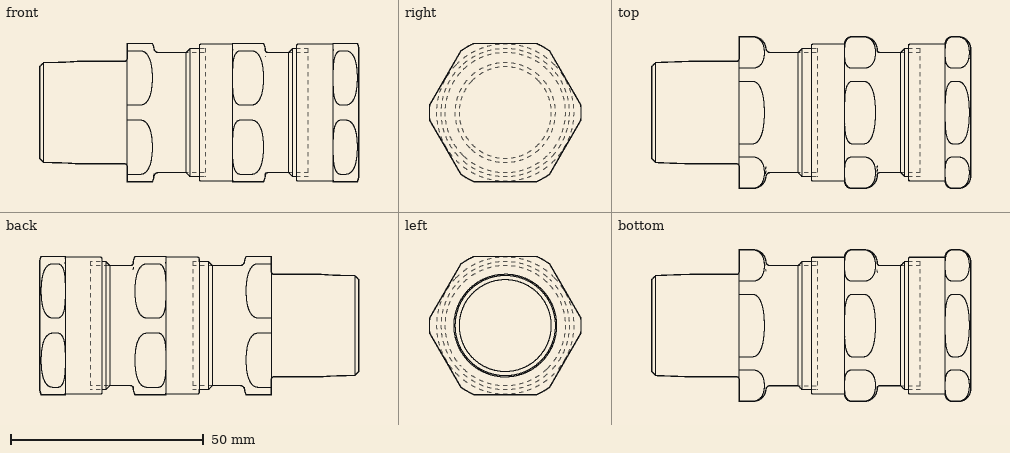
import cadquery as cq
import math


total_length = 82.9
hex_across_flats = 36.0
hex_corner_radius = 39.4 / 2
crown_radius = 3.5
neck_radius = 31.2 / 2
skirt_radius = 35.6 / 2
skirt_edge_round = 0.5
hex_front_round = hex_corner_radius - skirt_radius

thread_radius = 26.7 / 2
thread_tip_radius = 13.0
thread_tip_chamfer = 1.1
taper_end_x = 10.2
entry_hex_x = 22.7
entry_hex_land = 3.6
thread_root_fillet = (27.9 / 2) - thread_radius
entry_neck_fillet = 1.0

middle_skirt_x = 41.4
middle_hex_x = 50.05
middle_hex_land = 3.15
middle_neck_fillet = hex_corner_radius - crown_radius - neck_radius

end_skirt_x = 66.6
end_hex_x = 76.15
end_hex_land = 1.5

seal_radius = 33.3 / 2
seal_length = 5.0
seal_chamfer = seal_radius - neck_radius
entry_seal_x = 38.0
middle_seal_x = 64.6
seal_positions = [entry_seal_x, middle_seal_x]

entry_neck_end_x = entry_seal_x + seal_length
middle_neck_end_x = middle_seal_x + seal_length


def turned(profile):
    """Revolve a closed half profile (x along the axis, y as radius) about the X axis."""
    return profile.close().revolve(360, (0, 0, 0), (1, 0, 0))


def cut_to_hexagon(body):
    """Trim a turned body with a hexagonal prism that has flats at +Z and -Z."""
    across_corners = hex_across_flats / math.cos(math.radians(30))
    prism = cq.Workplane("YZ").polygon(6, across_corners).extrude(total_length)
    return body.intersect(prism).solids()


def round_corner(profile, start, end, centre, radius):
    """Add the short arc of the given radius and centre from start, the current point, to end."""
    middle_x = (start[0] + end[0]) / 2 - centre[0]
    middle_r = (start[1] + end[1]) / 2 - centre[1]
    reach = radius / math.hypot(middle_x, middle_r)
    through = (centre[0] + middle_x * reach, centre[1] + middle_r * reach)
    return profile.threePointArc(through, end)


def add_neck(profile, crown_x, fillet, neck_end_x):
    """Round a hexagon's rear corners, blend into a neck with a concave fillet, return to the axis."""
    fillet_top_r = neck_radius + fillet
    crown_start = (crown_x, hex_corner_radius)
    crown_centre = (crown_x, hex_corner_radius - crown_radius)
    crown_length = math.sqrt(crown_radius**2 - (fillet_top_r - crown_centre[1]) ** 2)
    crown_end = (crown_x + crown_length, fillet_top_r)
    fillet_centre = (crown_end[0] + fillet, fillet_top_r)
    fillet_end = (fillet_centre[0], neck_radius)
    profile = profile.lineTo(*crown_start)
    profile = round_corner(profile, crown_start, crown_end, crown_centre, crown_radius)
    profile = round_corner(profile, crown_end, fillet_end, fillet_centre, fillet)
    return profile.lineTo(neck_end_x, neck_radius).lineTo(neck_end_x, 0)


def nut_front(skirt_x, recess_end_x, hex_x):
    """Start a nut's profile: recess for neck and seal, round-edged skirt, rounded hexagon front."""
    edge_centre = (skirt_x + skirt_edge_round, skirt_radius - skirt_edge_round)
    edge_start = (skirt_x, edge_centre[1])
    edge_end = (edge_centre[0], skirt_radius)
    hex_start = (hex_x, skirt_radius)
    hex_end = (hex_x + hex_front_round, hex_corner_radius)
    hex_centre = (hex_end[0], hex_start[1])
    profile = (
        cq.Workplane("XY")
        .moveTo(recess_end_x, 0)
        .lineTo(recess_end_x, seal_radius)
        .lineTo(skirt_x, seal_radius)
        .lineTo(*edge_start)
    )
    profile = round_corner(profile, edge_start, edge_end, edge_centre, skirt_edge_round)
    profile = profile.lineTo(*hex_start)
    return round_corner(profile, hex_start, hex_end, hex_centre, hex_front_round)


def make_entry_fitting():
    """Taper thread blank, hexagon and neck."""
    root_x = entry_hex_x - thread_root_fillet
    root_top_r = thread_radius + thread_root_fillet
    root_start = (root_x, thread_radius)
    root_end = (entry_hex_x, root_top_r)
    profile = (
        cq.Workplane("XY")
        .moveTo(0, 0)
        .lineTo(0, thread_tip_radius - thread_tip_chamfer)
        .lineTo(thread_tip_chamfer, thread_tip_radius)
        .lineTo(taper_end_x, thread_radius)
        .lineTo(*root_start)
    )
    profile = round_corner(profile, root_start, root_end, (root_x, root_top_r), thread_root_fillet)
    profile = profile.lineTo(entry_hex_x, hex_corner_radius)
    crown_x = entry_hex_x + entry_hex_land
    profile = add_neck(profile, crown_x, entry_neck_fillet, entry_neck_end_x)
    return cut_to_hexagon(turned(profile))


def make_middle_nut():
    """Skirt over the entry neck, hexagon, and a neck for the end nut."""
    profile = nut_front(middle_skirt_x, entry_neck_end_x, middle_hex_x)
    crown_x = middle_hex_x + hex_front_round + middle_hex_land
    profile = add_neck(profile, crown_x, middle_neck_fillet, middle_neck_end_x)
    return cut_to_hexagon(turned(profile))


def make_end_nut():
    """Skirt over the middle neck and a hexagon whose crown runs out at the flat end face."""
    profile = nut_front(end_skirt_x, middle_neck_end_x, end_hex_x)
    crown_x = end_hex_x + hex_front_round + end_hex_land
    crown_length = total_length - crown_x
    crown_start = (crown_x, hex_corner_radius)
    crown_centre = (crown_x, hex_corner_radius - crown_length)
    crown_end = (total_length, crown_centre[1])
    profile = profile.lineTo(*crown_start)
    profile = round_corner(profile, crown_start, crown_end, crown_centre, crown_length)
    return cut_to_hexagon(turned(profile.lineTo(total_length, 0)))


def make_seal(front_x):
    """Sealing ring on a neck, its front chamfer running down to the neck surface."""
    rear_x = front_x + seal_length
    profile = (
        cq.Workplane("XY")
        .moveTo(front_x, neck_radius)
        .lineTo(front_x + seal_chamfer, seal_radius)
        .lineTo(rear_x, seal_radius)
        .lineTo(rear_x, neck_radius)
    )
    return turned(profile)


entry_fitting = make_entry_fitting()
middle_nut = make_middle_nut()
end_nut = make_end_nut()
seals = [make_seal(front_x) for front_x in seal_positions]

result = cq.Compound.makeCompound(
    [entry_fitting.val(), middle_nut.val(), end_nut.val(), *[seal.val() for seal in seals]]
)